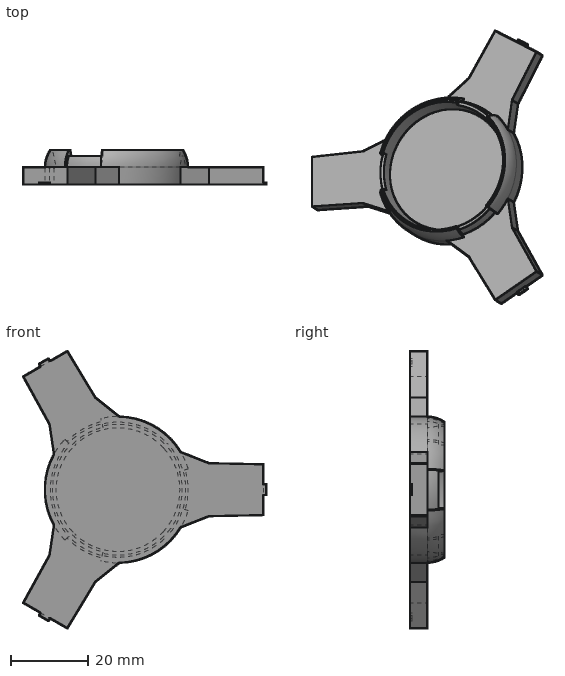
import cadquery as cq
import math

ARM_COUNT = 3
ARM_PITCH = 360 / ARM_COUNT

plate_thickness = 4.5
hub_radius = 18.95
arm_end_radius = 37.6
arm_end_half_width = 6.6
arm_bend_radius = 23.5
arm_bend_half_width = 6.9
arm_root_half_width = 9.75

tab_length = 0.8
tab_width = 2.9
tab_thickness = 0.6

ring_height = 4.45
ring_inner_base_radius = 16.0
ring_inner_top_radius = 16.9
ring_top_inset = 1.4
ring_mid_inset = 0.35
low_wall_step = 0.8
low_wall_height = 2.9
gap_angle = 33.0


def around(shape, index):
    """Turn a shape about the Y axis to the given arm position."""
    return shape.rotate((0, 0, 0), (0, 1, 0), index * ARM_PITCH)


def make_arm():
    """Arm along +X, tapering in from the hub to its flat end."""
    root_x = math.sqrt(hub_radius**2 - arm_root_half_width**2)
    upper_side = [
        (root_x, arm_root_half_width),
        (arm_bend_radius, arm_bend_half_width),
        (arm_end_radius, arm_end_half_width),
    ]
    lower_side = [(x, -z) for x, z in reversed(upper_side)]
    outline = [(0, 0)] + upper_side + lower_side
    return cq.Workplane("XZ").polyline(outline).close().extrude(-plate_thickness)


def make_tab():
    """Tab flush with the front face, reaching back to the hub centre inside the arm."""
    length = arm_end_radius + tab_length
    return cq.Workplane("XY").box(length, tab_thickness, tab_width, centered=(False, False, True))


def make_bulged_disc(base_radius):
    """Solid disc on the back of the plate, with its side leaning in along an arc."""
    top = plate_thickness + ring_height
    middle = (base_radius - ring_mid_inset, plate_thickness + ring_height / 2)
    return (
        cq.Workplane("XY")
        .moveTo(0, plate_thickness)
        .lineTo(base_radius, plate_thickness)
        .threePointArc(middle, (base_radius - ring_top_inset, top))
        .lineTo(0, top)
        .close()
        .revolve(360, (0, 0, 0), (0, 1, 0))
    )


def make_bowl():
    """Conical hollow inside the ring, widening away from the plate."""
    top = plate_thickness + ring_height
    return (
        cq.Workplane("XY")
        .polyline(
            [
                (0, plate_thickness),
                (ring_inner_base_radius, plate_thickness),
                (ring_inner_top_radius, top),
                (0, top),
            ]
        )
        .close()
        .revolve(360, (0, 0, 0), (0, 1, 0))
    )


def make_low_wall():
    """Thinner, lower ring that closes the foot of the gaps."""
    height_limit = (
        cq.Workplane("XZ", origin=(0, plate_thickness, 0)).circle(hub_radius).extrude(-low_wall_height)
    )
    return make_bulged_disc(hub_radius - low_wall_step).intersect(height_limit).cut(make_bowl())


def make_gap_cutter():
    """Wedge along +X that opens a radial gap through the tall ring."""
    reach = 2 * hub_radius
    half_opening = reach * math.tan(math.radians(gap_angle / 2))
    return (
        cq.Workplane("XZ", origin=(0, plate_thickness, 0))
        .polyline([(0, 0), (reach, half_opening), (reach, -half_opening)])
        .close()
        .extrude(-ring_height)
    )


def make_tall_ring():
    """Tall ring, split into segments by a gap behind each arm."""
    ring = make_bulged_disc(hub_radius).cut(make_bowl())
    for index in range(ARM_COUNT):
        ring = ring.cut(around(make_gap_cutter(), index))
    return ring


result = cq.Workplane("XZ").circle(hub_radius).extrude(-plate_thickness)
for arm_index in range(ARM_COUNT):
    result = result.union(around(make_arm(), arm_index))
    result = result.union(around(make_tab(), arm_index))
result = result.union(make_low_wall()).union(make_tall_ring())